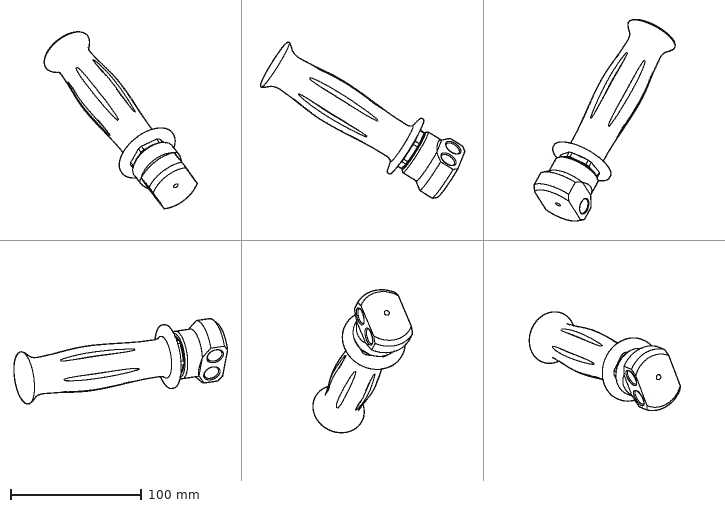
import cadquery as cq
import math

BUTT_ROUND = 1.2
GRIP_END_X = 116.3
RIM_START_X = 118.6
RIM_END_X = 121.0
NUT_START_X = 122.4
NUT_END_X = 126.3
BODY_START_X = 127.1
HEAD_START_X = 140.9
HEAD_FULL_X = 146.6
HEAD_CHAMFER_X = 157.8
HEAD_END_X = 161.2
TOTAL_LENGTH = 161.6

BUTT_RADIUS = 20.3
WAIST_RADIUS = 14.2
BARREL_RADIUS = 17.2
GRIP_END_RADIUS = 16.2
FLANGE_RADIUS = 49.5 / 2
FLANGE_ROUND = 0.6
GRIP_CURVE = [
    (3.5, 18.9),
    (5.9, 16.7),
    (9.5, 14.8),
    (16.5, WAIST_RADIUS),
    (29.0, 15.3),
    (49.5, BARREL_RADIUS),
    (76.0, 16.2),
    (109.0, WAIST_RADIUS),
    (113.0, 14.5),
    (GRIP_END_X, GRIP_END_RADIUS),
]

GROOVE_COUNT = 6
GROOVE_RADIUS = 4.0 / 2
GROOVE_FLOOR_RADIUS = 15.1
GROOVE_START_X = 25.0
GROOVE_END_X = 92.0

NECK_RADIUS = 24.62 / 2
NECK_END_RADIUS = 13.2
NUT_SIDES = 6
NUT_ACROSS_FLATS = 30.0
NUT_CORNER_DIAMETER = 33.0
COLLAR_RADIUS = 29.5 / 2

BODY_RADIUS = 37.0 / 2
BODY_CHAMFER = 1.6
HEAD_RADIUS = 48.6 / 2
HEAD_FLAT_DISTANCE = 16.0
HEAD_TILT = 22.0

PORT_X = 151.5
PORT_OFFSET = 9.0
FRONT_PORT_DIAMETER = 11.8
FRONT_PORT_RIM = 13.5
BACK_PORT_DIAMETER = 11.45
BACK_PORT_RIM = 12.5
PORT_DEPTH = 12.0
CROSS_BORE_DIAMETER = 9.0
UPPER_BORE_DIAMETER = 9.5
UPPER_BORE_DEPTH = 26.0
LINK_DIAMETER = 4.0
LINK_DEPTH = 14.7

DOME_RADIUS = 4.0 / 2
DOME_Y = 0.5
DOME_Z = 2.7


def revolve_about_x(outline):
    return outline.close().revolve(360, (0, 0, 0), (1, 0, 0))


def make_grip():
    round_mid = BUTT_ROUND * (1 - math.sqrt(0.5))
    outline = (
        cq.Workplane("XY")
        .lineTo(0, BUTT_RADIUS - BUTT_ROUND)
        .threePointArc((round_mid, BUTT_RADIUS - round_mid), (BUTT_ROUND, BUTT_RADIUS))
        .spline(GRIP_CURVE, includeCurrent=True)
        .lineTo(RIM_START_X, FLANGE_RADIUS)
        .lineTo(RIM_END_X, FLANGE_RADIUS)
        .lineTo(RIM_END_X, 0)
    )
    grip = revolve_about_x(outline)
    margin = FLANGE_ROUND / 2
    rim = cq.selectors.BoxSelector(
        (RIM_START_X - margin, -FLANGE_RADIUS - margin, -FLANGE_RADIUS - margin),
        (RIM_END_X + margin, FLANGE_RADIUS + margin, FLANGE_RADIUS + margin),
        boundingbox=True,
    )
    grip = grip.edges(rim).edges("%CIRCLE").fillet(FLANGE_ROUND)
    return grip.rotate((0, 0, 0), (1, 0, 0), 180 / GROOVE_COUNT)


def cut_grooves(grip):
    groove = (
        cq.Workplane("YZ", origin=(GROOVE_START_X, 0, 0))
        .center(-(GROOVE_FLOOR_RADIUS + GROOVE_RADIUS), 0)
        .circle(GROOVE_RADIUS)
        .extrude(GROOVE_END_X - GROOVE_START_X)
    )
    for index in range(GROOVE_COUNT):
        grip = grip.cut(groove.rotate((0, 0, 0), (1, 0, 0), index * 360 / GROOVE_COUNT))
    return grip


def make_neck():
    outline = (
        cq.Workplane("XY")
        .moveTo(RIM_END_X, 0)
        .lineTo(RIM_END_X, NECK_RADIUS)
        .lineTo(NUT_START_X, NECK_END_RADIUS)
        .lineTo(NUT_START_X, 0)
    )
    return revolve_about_x(outline)


def make_nut():
    length = NUT_END_X - NUT_START_X
    plane = cq.Workplane("YZ", origin=(NUT_START_X, 0, 0))
    hexagon = plane.polygon(NUT_SIDES, NUT_ACROSS_FLATS, circumscribed=True).extrude(length)
    corner_limit = plane.circle(NUT_CORNER_DIAMETER / 2).extrude(length)
    return hexagon.intersect(corner_limit).rotate((0, 0, 0), (1, 0, 0), 180 / NUT_SIDES)


def make_body():
    end_chamfer = HEAD_END_X - HEAD_CHAMFER_X
    outline = (
        cq.Workplane("XY")
        .moveTo(NUT_END_X, 0)
        .lineTo(NUT_END_X, COLLAR_RADIUS)
        .lineTo(BODY_START_X, COLLAR_RADIUS)
        .lineTo(BODY_START_X, BODY_RADIUS - BODY_CHAMFER)
        .lineTo(BODY_START_X + BODY_CHAMFER, BODY_RADIUS)
        .lineTo(HEAD_START_X, BODY_RADIUS)
        .lineTo(HEAD_FULL_X, HEAD_RADIUS)
        .lineTo(HEAD_CHAMFER_X, HEAD_RADIUS)
        .lineTo(HEAD_END_X, HEAD_RADIUS - end_chamfer)
        .lineTo(HEAD_END_X, 0)
    )
    return revolve_about_x(outline)


def make_flat_cutter():
    """Material outside the -Y flat, with a 45 degree run-out into the body."""
    run_out = HEAD_RADIUS - HEAD_FLAT_DISTANCE
    return (
        cq.Workplane("XY")
        .moveTo(HEAD_START_X, -HEAD_FLAT_DISTANCE)
        .lineTo(HEAD_END_X, -HEAD_FLAT_DISTANCE)
        .lineTo(HEAD_END_X, -HEAD_RADIUS)
        .lineTo(HEAD_START_X - run_out, -HEAD_RADIUS)
        .close()
        .extrude(HEAD_RADIUS, both=True)
    )


def make_bore(side, offset, diameter, depth):
    """Cylinder sunk into the flat on the given side (-1 or +1 along Y)."""
    start = cq.Vector(PORT_X, side * HEAD_FLAT_DISTANCE, offset)
    inward = cq.Vector(0, -side, 0)
    return cq.Workplane(cq.Solid.makeCylinder(diameter / 2, depth, start, inward))


def make_rim_chamfer(side, offset, rim_diameter, diameter):
    start = cq.Vector(PORT_X, side * HEAD_FLAT_DISTANCE, offset)
    inward = cq.Vector(0, -side, 0)
    depth = (rim_diameter - diameter) / 2
    return cq.Workplane(cq.Solid.makeCone(rim_diameter / 2, diameter / 2, depth, start, inward))


def make_link():
    """Passage parallel to the flats that joins the two bores behind the front ports."""
    return (
        cq.Workplane("XY", origin=(PORT_X, LINK_DEPTH - HEAD_FLAT_DISTANCE, 0))
        .circle(LINK_DIAMETER / 2)
        .extrude(PORT_OFFSET, both=True)
    )


def make_dome():
    height = TOTAL_LENGTH - HEAD_END_X
    sphere_radius = (DOME_RADIUS**2 + height**2) / (2 * height)
    half_angle = math.asin(DOME_RADIUS / sphere_radius) / 2
    shoulder = (height - sphere_radius * (1 - math.cos(half_angle)), sphere_radius * math.sin(half_angle))
    profile = (
        cq.Workplane("XY", origin=(HEAD_END_X, DOME_Y, DOME_Z))
        .lineTo(0, DOME_RADIUS)
        .threePointArc(shoulder, (height, 0))
        .close()
    )
    return profile.revolve(360, (0, 0, 0), (1, 0, 0))


def cut_head(body):
    """Cut the two flats and their ports, all turned together about X."""
    flat = make_flat_cutter()
    cutters = [flat, flat.rotate((0, 0, 0), (1, 0, 0), 180)]
    for offset in (PORT_OFFSET, -PORT_OFFSET):
        cutters.append(make_bore(-1, offset, FRONT_PORT_DIAMETER, PORT_DEPTH))
        cutters.append(make_rim_chamfer(-1, offset, FRONT_PORT_RIM, FRONT_PORT_DIAMETER))
    cutters.append(make_bore(1, -PORT_OFFSET, BACK_PORT_DIAMETER, PORT_DEPTH))
    cutters.append(make_rim_chamfer(1, -PORT_OFFSET, BACK_PORT_RIM, BACK_PORT_DIAMETER))
    cutters.append(make_bore(-1, -PORT_OFFSET, CROSS_BORE_DIAMETER, HEAD_FLAT_DISTANCE * 2))
    cutters.append(make_bore(-1, PORT_OFFSET, UPPER_BORE_DIAMETER, UPPER_BORE_DEPTH))
    cutters.append(make_link())
    for cutter in cutters:
        body = body.cut(cutter.rotate((0, 0, 0), (1, 0, 0), HEAD_TILT))
    return body


grip = cut_grooves(make_grip())
head = cut_head(make_body())
result = grip.union(make_neck()).union(make_nut()).union(head).union(make_dome())